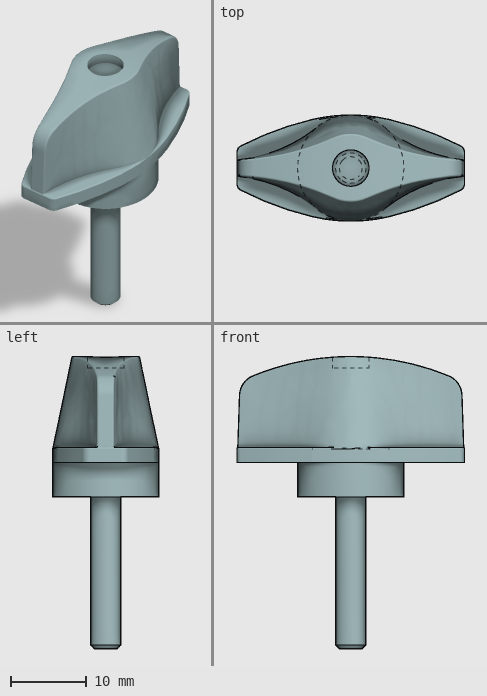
import cadquery as cq
import math

STEM_DIAMETER = 4.0
STEM_LENGTH = 20.0
STEM_CHAMFER = 0.5
COLLAR_DIAMETER = 14.0
COLLAR_HEIGHT = 4.5

FLANGE_LENGTH = 30.0
FLANGE_WIDTH = COLLAR_DIAMETER
FLANGE_THICKNESS = 2.0
FLANGE_BULGE_RADIUS = 22.0
FLANGE_BULGE_HALF_LENGTH = 5.05
FLANGE_END_HALF_WIDTH = 2.65
FLANGE_CORNER_RADIUS = 1.0
FLANGE_EDGE_ROUND = 0.2

GRIP_HEIGHT = 14.0
GRIP_FOOT_Z = FLANGE_THICKNESS - FLANGE_EDGE_ROUND
GRIP_FOOT_HALF_LENGTH = 14.9
GRIP_TOP_HALF_LENGTH = 14.5
GRIP_CROWN_RADIUS = 33.8
GRIP_SHOULDER_RADIUS = 2.9
GRIP_EDGE_ROUND = 0.25
GRIP_ROOT_FILLET = 0.12

WING_TIP_HALF_WIDTH = 1.1
FOOT_TIP_ANGLE = math.radians(6.0)
TOP_TIP_ANGLE = math.radians(0.8)
FOOT_HUB_HALF_WIDTH = FLANGE_WIDTH / 2
FOOT_HUB_RADIUS = FLANGE_WIDTH / 2
TOP_HUB_HALF_WIDTH = 4.45
TOP_HUB_RADIUS = 5.3
WING_ARC_STEPS = 5
HUB_ARC_STEPS = 3

RECESS_DIAMETER = 4.8
RECESS_DEPTH = 1.5


def make_stem():
    """Round pin below the collar, chamfered at its free end."""
    return (
        cq.Workplane("XY")
        .workplane(offset=-COLLAR_HEIGHT - STEM_LENGTH)
        .circle(STEM_DIAMETER / 2)
        .extrude(STEM_LENGTH + COLLAR_HEIGHT)
        .faces("<Z")
        .chamfer(STEM_CHAMFER)
    )


def make_collar():
    return cq.Workplane("XY").circle(COLLAR_DIAMETER / 2).extrude(-COLLAR_HEIGHT)


def make_flange():
    """Plate with short straight ends and bowed sides, each side made of three tangent arcs."""
    end_x = FLANGE_LENGTH / 2
    end_y = FLANGE_END_HALF_WIDTH
    side_y = FLANGE_WIDTH / 2
    bulge_x = FLANGE_BULGE_HALF_LENGTH
    bulge_drop = FLANGE_BULGE_RADIUS - math.sqrt(FLANGE_BULGE_RADIUS**2 - bulge_x**2)
    bulge_y = side_y - bulge_drop

    slope_angle = math.asin(bulge_x / FLANGE_BULGE_RADIUS)
    chord_x = end_x - bulge_x
    chord_y = bulge_y - end_y
    chord_angle = math.atan2(chord_y, chord_x)
    arc_rise = math.hypot(chord_x, chord_y) / 2 * math.tan((chord_angle - slope_angle) / 2)
    middle_x = (bulge_x + end_x) / 2 + arc_rise * math.sin(chord_angle)
    middle_y = (bulge_y + end_y) / 2 + arc_rise * math.cos(chord_angle)

    return (
        cq.Workplane("XY")
        .moveTo(end_x, end_y)
        .threePointArc((middle_x, middle_y), (bulge_x, bulge_y))
        .threePointArc((0, side_y), (-bulge_x, bulge_y))
        .threePointArc((-middle_x, middle_y), (-end_x, end_y))
        .lineTo(-end_x, -end_y)
        .threePointArc((-middle_x, -middle_y), (-bulge_x, -bulge_y))
        .threePointArc((0, -side_y), (bulge_x, -bulge_y))
        .threePointArc((middle_x, -middle_y), (end_x, -end_y))
        .close()
        .extrude(FLANGE_THICKNESS)
        .edges("|Z and (<X or >X)")
        .fillet(FLANGE_CORNER_RADIUS)
        .faces(">Z")
        .edges()
        .fillet(FLANGE_EDGE_ROUND)
    )


def add_grip_section(workplane, half_length, hub_half_width, hub_radius, tip_angle):
    """Draw a closed plan section: a convex hub arc tangent to a concave arc on each wing."""
    hub_center_y = hub_half_width - hub_radius
    tip_x = half_length
    tip_y = WING_TIP_HALF_WIDTH

    normal_x = math.sin(tip_angle)
    normal_y = math.cos(tip_angle)
    offset_y = tip_y - hub_center_y
    offset_along_normal = tip_x * normal_x + offset_y * normal_y
    wing_radius = (tip_x**2 + offset_y**2 - hub_radius**2) / (2 * (hub_radius - offset_along_normal))
    wing_center_x = tip_x + wing_radius * normal_x
    wing_center_y = tip_y + wing_radius * normal_y

    blend_angle = math.atan2(wing_center_x, wing_center_y - hub_center_y)
    right_half = []
    for step in range(WING_ARC_STEPS):
        angle = tip_angle + (blend_angle - tip_angle) * step / WING_ARC_STEPS
        x = wing_center_x - wing_radius * math.sin(angle)
        y = wing_center_y - wing_radius * math.cos(angle)
        right_half.append((x, y))
    for step in range(HUB_ARC_STEPS):
        angle = blend_angle * (1 - step / HUB_ARC_STEPS)
        x = hub_radius * math.sin(angle)
        y = hub_center_y + hub_radius * math.cos(angle)
        right_half.append((x, y))

    left_half = [(-x, y) for x, y in reversed(right_half)]
    upper_side = right_half + [(0, hub_half_width)] + left_half
    lower_side = [(-x, -y) for x, y in upper_side]
    upper_tangents = [(-normal_y, normal_x), (-normal_y, -normal_x)]
    lower_tangents = [(normal_y, -normal_x), (normal_y, normal_x)]

    return (
        workplane.moveTo(tip_x, tip_y)
        .spline(upper_side[1:], tangents=upper_tangents, includeCurrent=True)
        .lineTo(-tip_x, -tip_y)
        .spline(lower_side[1:], tangents=lower_tangents, includeCurrent=True)
        .close()
    )


def make_crown_envelope():
    """Solid that trims the grip to its domed top and rounded shoulders."""
    edge_x = FLANGE_LENGTH / 2
    edge_drop = GRIP_CROWN_RADIUS - math.sqrt(GRIP_CROWN_RADIUS**2 - edge_x**2)
    return (
        cq.Workplane("XZ")
        .moveTo(-edge_x, 0)
        .lineTo(edge_x, 0)
        .lineTo(edge_x, GRIP_HEIGHT - edge_drop)
        .threePointArc((0, GRIP_HEIGHT), (-edge_x, GRIP_HEIGHT - edge_drop))
        .close()
        .extrude(FLANGE_WIDTH, both=True)
    )


def make_grip():
    foot = add_grip_section(
        cq.Workplane("XY").workplane(offset=GRIP_FOOT_Z),
        GRIP_FOOT_HALF_LENGTH,
        FOOT_HUB_HALF_WIDTH,
        FOOT_HUB_RADIUS,
        FOOT_TIP_ANGLE,
    )
    sections = add_grip_section(
        foot.workplane(offset=GRIP_HEIGHT - GRIP_FOOT_Z),
        GRIP_TOP_HALF_LENGTH,
        TOP_HUB_HALF_WIDTH,
        TOP_HUB_RADIUS,
        TOP_TIP_ANGLE,
    )
    grip = sections.loft(ruled=True).intersect(make_crown_envelope())
    shoulders = grip.faces("<X or >X").edges(">Z")
    grip = shoulders.fillet(GRIP_SHOULDER_RADIUS)
    return grip.faces(">Z").edges("not |Y").fillet(GRIP_EDGE_ROUND)


def make_handle():
    """Flange and grip joined, with a small fillet where each wing flank meets the flange."""
    handle = make_flange().union(make_grip())
    on_flange_top = cq.selectors.BoxSelector(
        (-FLANGE_LENGTH, -FLANGE_WIDTH, FLANGE_THICKNESS - GRIP_ROOT_FILLET / 2),
        (FLANGE_LENGTH, FLANGE_WIDTH, FLANGE_THICKNESS + GRIP_ROOT_FILLET / 2),
        boundingbox=True,
    )
    flat_edges = handle.edges(on_flange_top)

    def is_wing_root(edge):
        """Root curves run beside the wing, far inside the long rim of the flange."""
        box = edge.BoundingBox()
        return box.xlen > FLANGE_LENGTH / 3 and abs(edge.Center().y) < FLANGE_WIDTH / 4

    return flat_edges.filter(is_wing_root).fillet(GRIP_ROOT_FILLET)


def make_recess():
    return (
        cq.Workplane("XY")
        .workplane(offset=GRIP_HEIGHT)
        .circle(RECESS_DIAMETER / 2)
        .extrude(-RECESS_DEPTH)
    )


result = (
    make_handle()
    .union(make_collar())
    .union(make_stem())
    .cut(make_recess())
)